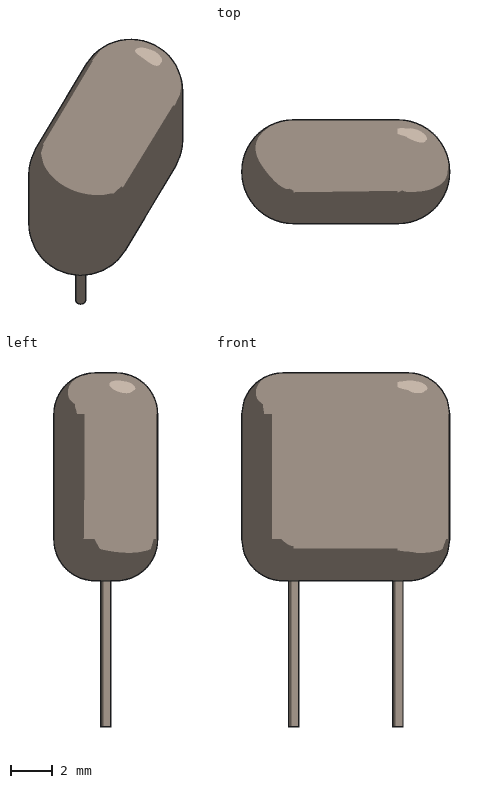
import cadquery as cq

body_length = 10.0
body_thickness = 5.0
body_height = 10.0
rim_radius = 2.0

lead_diameter = 0.5
lead_length = 7.0
lead_pitch = 5.0


def make_body():
    """Round-ended slab with its flat underside at Z = 0."""
    slab = cq.Workplane("XY").slot2D(body_length, body_thickness).extrude(body_height)
    return slab.faces("<Z or >Z").edges().fillet(rim_radius)


def make_lead(x):
    """Wire running down from the flat underside of the body."""
    return cq.Workplane("XY").center(x, 0).circle(lead_diameter / 2).extrude(-lead_length)


result = make_body()
for side in (-1, 1):
    result = result.union(make_lead(side * lead_pitch / 2))